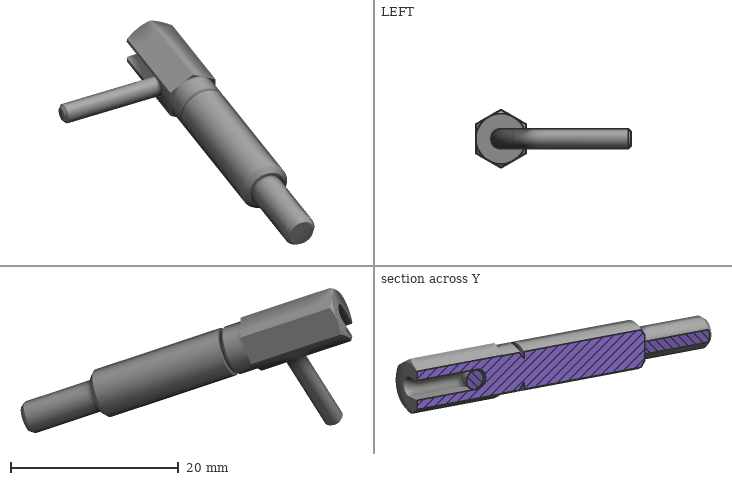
import cadquery as cq
import math

total_length = 41.5
corner_width = 6.95
flat_width = corner_width * math.cos(math.pi / 6)
head_length = 12.05
head_face_radius = flat_width / 2
head_chamfer_length = 0.3
barrel_radius = 3.0
barrel_end = 32.05
barrel_chamfer = 0.6
groove_start = 14.4
groove_depth = 0.62

rod_radius = 1.2
handle_x = 8.15
handle_end_y = -15.52
bend_radius = 1.4
handle_chamfer = 0.37
tip_radius = 2.0
tip_chamfer_length = 0.6
tip_chamfer_depth = 0.4

slot_end = 9.6


def revolve_about_x(points):
    """Turn a closed (X, radius) outline about the X axis."""
    return cq.Workplane("XY").polyline(points).close().revolve(360, (0, 0, 0), (1, 0, 0))


def make_head():
    hexagon = (
        cq.Workplane("YZ")
        .polygon(6, corner_width)
        .extrude(head_length)
        .rotate((0, 0, 0), (1, 0, 0), 90)
    )
    corner_radius = corner_width / 2
    chamfer_slope = (corner_radius - head_face_radius) / head_chamfer_length
    envelope_radius = head_face_radius + chamfer_slope * 2 * head_chamfer_length
    envelope = revolve_about_x([
        (0, 0),
        (0, head_face_radius),
        (2 * head_chamfer_length, envelope_radius),
        (head_length, envelope_radius),
        (head_length, 0),
    ])
    return hexagon.intersect(envelope)


def make_barrel():
    groove_end = groove_start + groove_depth
    return revolve_about_x([
        (head_length, 0),
        (head_length, barrel_radius),
        (groove_start, barrel_radius),
        (groove_end, barrel_radius - groove_depth),
        (groove_end, barrel_radius),
        (barrel_end - barrel_chamfer, barrel_radius),
        (barrel_end, barrel_radius - barrel_chamfer),
        (barrel_end, 0),
    ])


def make_slot():
    """Slot open at the head face and on the -Y flat, with a round inner end."""
    slot_center = slot_end - rod_radius
    channel = cq.Workplane("XZ").rect(2 * slot_center, 2 * rod_radius).extrude(flat_width)
    round_end = cq.Workplane("XZ").center(slot_center, 0).circle(rod_radius).extrude(flat_width)
    return channel.union(round_end)


def make_sleeve():
    bore = cq.Workplane("YZ").circle(rod_radius).extrude(barrel_end)
    body = make_head().union(make_barrel()).cut(bore).cut(make_slot())
    return body.cut(make_bent_rod())


def make_bent_rod():
    bend_offset = bend_radius * (1 - math.sqrt(0.5))
    rod_path = (
        cq.Workplane("XY")
        .moveTo(handle_x, handle_end_y)
        .lineTo(handle_x, -bend_radius)
        .threePointArc((handle_x + bend_offset, -bend_offset), (handle_x + bend_radius, 0))
        .lineTo(barrel_end, 0)
    )
    return (
        cq.Workplane("XZ", origin=(handle_x, handle_end_y, 0))
        .circle(rod_radius)
        .sweep(rod_path)
        .faces("<Y")
        .chamfer(handle_chamfer)
    )


def make_plunger():
    tip = revolve_about_x([
        (barrel_end, 0),
        (barrel_end, tip_radius),
        (total_length - tip_chamfer_length, tip_radius),
        (total_length, tip_radius - tip_chamfer_depth),
        (total_length, 0),
    ])
    return make_bent_rod().union(tip)


sleeve = make_sleeve()
plunger = make_plunger()

result = cq.Compound.makeCompound([sleeve.val(), plunger.val()])